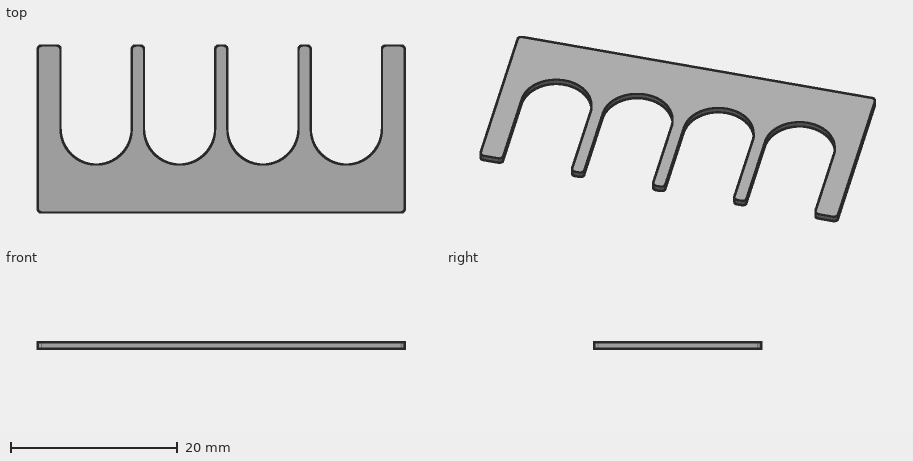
import cadquery as cq

length = 44.0
depth = 20.0
thickness = 0.8
corner_radius = 0.5

slot_count = 4
slot_pitch = 10.0
slot_width = 8.5
slot_floor = 5.75
slot_radius = slot_width / 2
arc_center_y = slot_floor + slot_radius


def slot_cutter(center_x):
    """U-shaped cutter, open toward +Y, with a full-round end."""
    left = center_x - slot_radius
    right = center_x + slot_radius
    return (
        cq.Workplane("XY")
        .moveTo(left, depth)
        .lineTo(left, arc_center_y)
        .threePointArc((center_x, slot_floor), (right, arc_center_y))
        .lineTo(right, depth)
        .close()
        .extrude(thickness)
    )


plate = cq.Workplane("XY").box(length, depth, thickness, centered=(True, False, False))

for index in range(slot_count):
    offset = index - (slot_count - 1) / 2
    plate = plate.cut(slot_cutter(offset * slot_pitch))

tip_edges = plate.faces(">Y").edges("|Z")
base_edges = plate.faces("<Y").edges("|Z")
result = plate.newObject(tip_edges.vals() + base_edges.vals()).fillet(corner_radius)